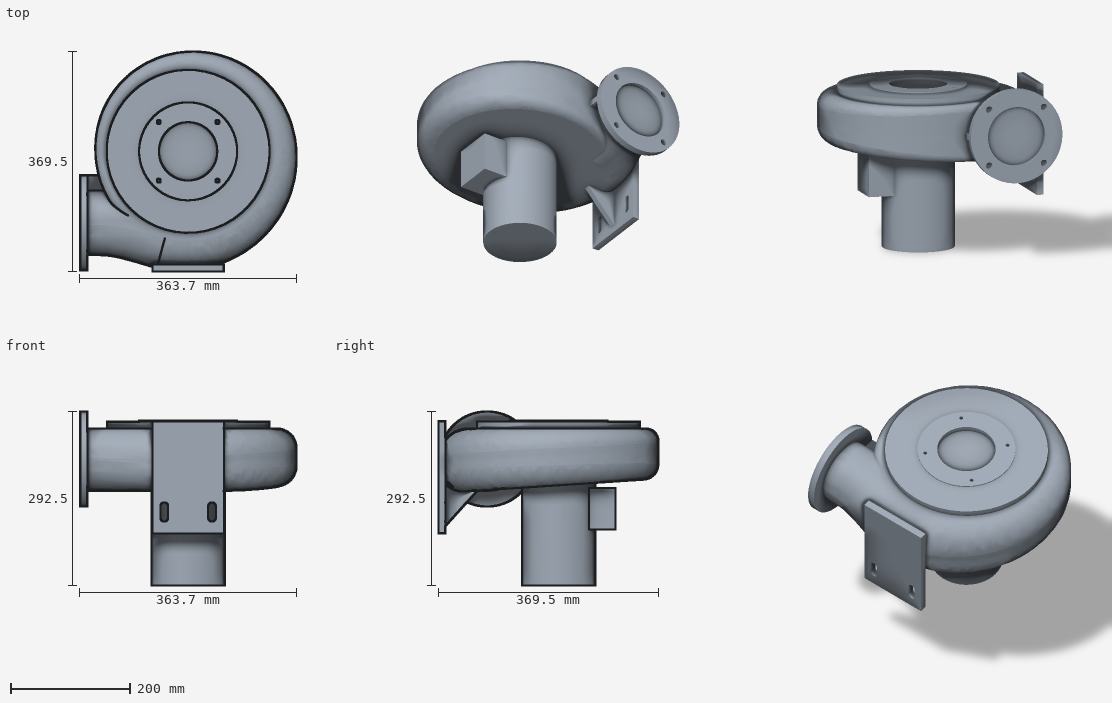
import cadquery as cq
import math


CORE_RADIUS = 143.0
SECTION_INNER_RADIUS = 50.0
VOLUTE_START_ANGLE = 245.0
VOLUTE_END_ANGLE = -113.0
OUTLET_LEAD_ANGLE = 8.0
VOLUTE_SECTIONS = 19
CIRCLE_RADIUS = 155.6
OPENING_ANGLE = 180.0
RADIUS_GROWTH = 0.118
GROWTH_INCREASE = 0.00016
FLAT_RADIUS = 148.5
FLAT_GROWTH = 0.027
FLOOR_DEPTH = 95.5
FLOOR_SLOPE = 0.066

COVER_RADIUS = 136.8
COVER_HEIGHT = 11.3
RING_RADIUS = 82.3
RING_HEIGHT = 2.0
INLET_RADIUS = 49.0
INLET_DEPTH = 10.0
INLET_HOLE_SPACING = 98.5
INLET_HOLE_DIAMETER = 6.5
INLET_HOLE_DEPTH = 10.0

PIPE_Y = -120.0
PIPE_WIDTH = 108.6
PIPE_HEIGHT = 104.7
PIPE_CORNER_RADIUS = 50.2
PIPE_STRAIGHT_X = -145.0
PIPE_INNER_END_X = -70.0
FLANGE_FACE_X = -181.4
FLANGE_THICKNESS = 12.4
FLANGE_DIAMETER = 160.0
FLANGE_Z = -51.4
OUTLET_DIAMETER = 100.0
OUTLET_DEPTH = 10.0
FLANGE_HOLE_SPACING = 95.4
FLANGE_HOLE_DIAMETER = 11.0
FLANGE_HOLE_DEPTH = 9.0
WEB_THICKNESS = 10.0
DRILL_TIP_ANGLE = 118.0

MOTOR_RADIUS = 61.7
MOTOR_BOTTOM_Z = -263.9
BOX_SIZE = 70.0
BOX_TOP_Z = -100.0
BOX_OUTER_Y = 96.0

PLATE_WIDTH = 120.0
PLATE_THICKNESS = 12.0
PLATE_FACE_Y = -201.8
PLATE_TOP_Z = 12.0
PLATE_HEIGHT = 188.0
SLOT_SPACING = 80.0
SLOT_WIDTH = 13.0
SLOT_LENGTH = 32.0
SLOT_Z = -140.3
RIB_THICKNESS = 10.0
RIB_BOTTOM_Z = -164.0
RIB_SLOPE = 1.11
RIB_TOP_Z = -80.0

FLANGE_BACK_X = FLANGE_FACE_X + FLANGE_THICKNESS
PLATE_BACK_Y = PLATE_FACE_Y + PLATE_THICKNESS
COVER_TOP_Z = COVER_HEIGHT + RING_HEIGHT


def outer_radius(angle):
    opened = max(0.0, OPENING_ANGLE - angle)
    return CIRCLE_RADIUS + RADIUS_GROWTH * opened + GROWTH_INCREASE * opened**2


def corner_radius(angle):
    flat_rim = FLAT_RADIUS - FLAT_GROWTH * min(angle, OPENING_ANGLE)
    return outer_radius(angle) - flat_rim


def rounded_section(point, inner, outer, corner, inner_floor, outer_floor):
    """Wire with a flat top at Z = 0, a sloping floor and both outer corners rounded.

    `point(u, z)` places a distance u along the section at height z.
    """
    slope = math.atan2(outer_floor - inner_floor, outer - inner)
    center_u = outer - corner
    floor_reach = corner * math.tan((math.pi / 2 + slope) / 2)
    side_bottom = outer_floor + floor_reach
    floor_end = (outer - floor_reach * math.cos(slope), outer_floor - floor_reach * math.sin(slope))
    floor_mid_angle = (slope - math.pi / 2) / 2
    floor_mid = (
        center_u + corner * math.cos(floor_mid_angle),
        side_bottom + corner * math.sin(floor_mid_angle),
    )
    top_mid = corner * math.sqrt(0.5)
    edges = [
        cq.Edge.makeLine(point(inner, inner_floor), point(inner, 0)),
        cq.Edge.makeLine(point(inner, 0), point(center_u, 0)),
        cq.Edge.makeThreePointArc(
            point(center_u, 0), point(center_u + top_mid, top_mid - corner), point(outer, -corner)
        ),
        cq.Edge.makeLine(point(outer, -corner), point(outer, side_bottom)),
        cq.Edge.makeThreePointArc(point(outer, side_bottom), point(*floor_mid), point(*floor_end)),
        cq.Edge.makeLine(point(*floor_end), point(inner, inner_floor)),
    ]
    return cq.Wire.assembleEdges(edges)


def volute_section(angle, inner):
    cosine = math.cos(math.radians(angle))
    sine = math.sin(math.radians(angle))
    outer = outer_radius(angle)

    def point(radius, z):
        return cq.Vector(radius * cosine, radius * sine, z)

    def floor(radius):
        return FLOOR_SLOPE * radius * sine - FLOOR_DEPTH

    return rounded_section(point, inner, outer, corner_radius(angle), floor(inner), floor(outer))


def volute_end_section(angle):
    """Part of a volute section that lies beyond the crown line of the pipe."""
    return volute_section(angle, PIPE_Y / math.sin(math.radians(angle)))


def outlet_section(x):
    """Outer half of the pipe, from its crown line to its outer side."""

    def point(distance, z):
        return cq.Vector(x, PIPE_Y - distance, z)

    return rounded_section(point, 0, PIPE_WIDTH / 2, PIPE_CORNER_RADIUS, -PIPE_HEIGHT, -PIPE_HEIGHT)


def make_volute():
    step = (VOLUTE_END_ANGLE - VOLUTE_START_ANGLE) / (VOLUTE_SECTIONS - 1)
    angles = [VOLUTE_START_ANGLE + i * step for i in range(VOLUTE_SECTIONS)]
    sections = [volute_section(angle, SECTION_INNER_RADIUS) for angle in angles]
    return cq.Workplane(obj=cq.Solid.makeLoft(sections))


def make_core():
    """Round body under the cover, closed below by the sloping floor."""
    floor_at_rim = FLOOR_SLOPE * CORE_RADIUS
    profile = [
        (-CORE_RADIUS, 0),
        (CORE_RADIUS, 0),
        (CORE_RADIUS, floor_at_rim - FLOOR_DEPTH),
        (-CORE_RADIUS, -floor_at_rim - FLOOR_DEPTH),
    ]
    wedge = cq.Workplane("YZ").polyline(profile).close().extrude(CORE_RADIUS, both=True)
    cylinder = cq.Workplane("XY").circle(CORE_RADIUS).extrude(-2 * FLOOR_DEPTH)
    return wedge.intersect(cylinder)


def make_outlet():
    """Bend from the volute end to the flange, joined along the crown to half a straight pipe."""
    sections = [
        volute_end_section(VOLUTE_END_ANGLE + OUTLET_LEAD_ANGLE),
        volute_end_section(VOLUTE_END_ANGLE),
        outlet_section(PIPE_STRAIGHT_X),
        outlet_section(FLANGE_BACK_X),
    ]
    bend = cq.Workplane(obj=cq.Solid.makeLoft(sections))
    pipe = (
        cq.Workplane("YZ", origin=(FLANGE_BACK_X, PIPE_Y, -PIPE_HEIGHT / 2))
        .rect(PIPE_WIDTH, PIPE_HEIGHT)
        .extrude(PIPE_INNER_END_X - FLANGE_BACK_X)
        .edges("|X")
        .fillet(PIPE_CORNER_RADIUS)
    )
    inner_half = (
        cq.Workplane("YZ", origin=(FLANGE_BACK_X, PIPE_Y, -PIPE_HEIGHT))
        .rect(PIPE_WIDTH, 2 * PIPE_HEIGHT, centered=(False, False))
        .extrude(PIPE_INNER_END_X - FLANGE_BACK_X)
    )
    return bend.union(pipe.intersect(inner_half))


def make_cover():
    ring_top = cq.Workplane("XY", origin=(0, 0, COVER_TOP_Z))
    cover = cq.Workplane("XY").circle(COVER_RADIUS).extrude(COVER_HEIGHT)
    ring = ring_top.circle(RING_RADIUS).extrude(-RING_HEIGHT)
    return cover.union(ring).cut(make_inlet_cuts())


def blind_hole(diameter, depth):
    """Drilled hole with a conical tip, opening at the origin and running towards -Z."""
    radius = diameter / 2
    tip = radius / math.tan(math.radians(DRILL_TIP_ANGLE / 2))
    profile = [(0, 0), (radius, 0), (radius, -depth), (0, -depth - tip)]
    return cq.Workplane("XZ").polyline(profile).close().revolve(360, (0, 0, 0), (0, 1, 0))


def hole_pattern(spacing, diameter, depth):
    """Four blind holes on the corners of a square."""
    half = spacing / 2
    holes = cq.Workplane("XY")
    for x in (-half, half):
        for y in (-half, half):
            holes = holes.add(blind_hole(diameter, depth).translate((x, y, 0)))
    return holes.combine()


def make_inlet_cuts():
    bore = cq.Workplane("XY").circle(INLET_RADIUS).extrude(-INLET_DEPTH)
    holes = hole_pattern(INLET_HOLE_SPACING, INLET_HOLE_DIAMETER, INLET_HOLE_DEPTH)
    return bore.union(holes).translate((0, 0, COVER_TOP_Z))


def make_flange():
    disc = (
        cq.Workplane("YZ", origin=(FLANGE_FACE_X, PIPE_Y, FLANGE_Z))
        .circle(FLANGE_DIAMETER / 2)
        .extrude(FLANGE_THICKNESS)
    )
    return disc.cut(make_outlet_cuts())


def make_outlet_cuts():
    bore = cq.Workplane("XY").circle(OUTLET_DIAMETER / 2).extrude(-OUTLET_DEPTH)
    holes = hole_pattern(FLANGE_HOLE_SPACING, FLANGE_HOLE_DIAMETER, FLANGE_HOLE_DEPTH)
    cuts = bore.union(holes).rotate((0, 0, 0), (0, 1, 0), -90)
    return cuts.translate((FLANGE_FACE_X, PIPE_Y, FLANGE_Z))


def make_web():
    """Horizontal web as wide as the flange, joining it to the pipe and the casing."""
    length = PIPE_INNER_END_X - FLANGE_BACK_X
    web = cq.Workplane("XY").box(
        length, FLANGE_DIAMETER / 2, WEB_THICKNESS, centered=(False, False, True)
    )
    return web.translate((FLANGE_BACK_X, PIPE_Y, FLANGE_Z))


def make_motor():
    motor = cq.Workplane("XY", origin=(0, 0, MOTOR_BOTTOM_Z)).circle(MOTOR_RADIUS).extrude(-MOTOR_BOTTOM_Z)
    box = cq.Workplane("XY").box(BOX_SIZE, BOX_OUTER_Y, BOX_SIZE, centered=(True, False, False))
    return motor.union(box.translate((0, 0, BOX_TOP_Z - BOX_SIZE)))


def make_mounting_plate():
    plate = cq.Workplane("XY").box(
        PLATE_WIDTH, PLATE_THICKNESS, PLATE_HEIGHT, centered=(True, False, False)
    )
    slots = (
        cq.Workplane("XZ")
        .pushPoints([(-SLOT_SPACING / 2, SLOT_Z), (SLOT_SPACING / 2, SLOT_Z)])
        .slot2D(SLOT_LENGTH, SLOT_WIDTH, 90)
        .extrude(-PLATE_FACE_Y)
    )
    return plate.translate((0, PLATE_FACE_Y, PLATE_TOP_Z - PLATE_HEIGHT)).cut(slots)


def make_rib():
    """Triangular rib between the back of the plate and the underside of the casing."""
    reach = (RIB_TOP_Z - RIB_BOTTOM_Z) / RIB_SLOPE
    profile = [
        (PLATE_BACK_Y, RIB_BOTTOM_Z),
        (PLATE_BACK_Y + reach, RIB_TOP_Z),
        (PLATE_BACK_Y, RIB_TOP_Z),
    ]
    return cq.Workplane("YZ").polyline(profile).close().extrude(RIB_THICKNESS / 2, both=True)


casing = make_core().union(make_volute()).union(make_outlet()).union(make_motor())
mount = make_mounting_plate().union(make_rib())
result = casing.union(make_cover()).union(make_web()).union(make_flange()).union(mount)